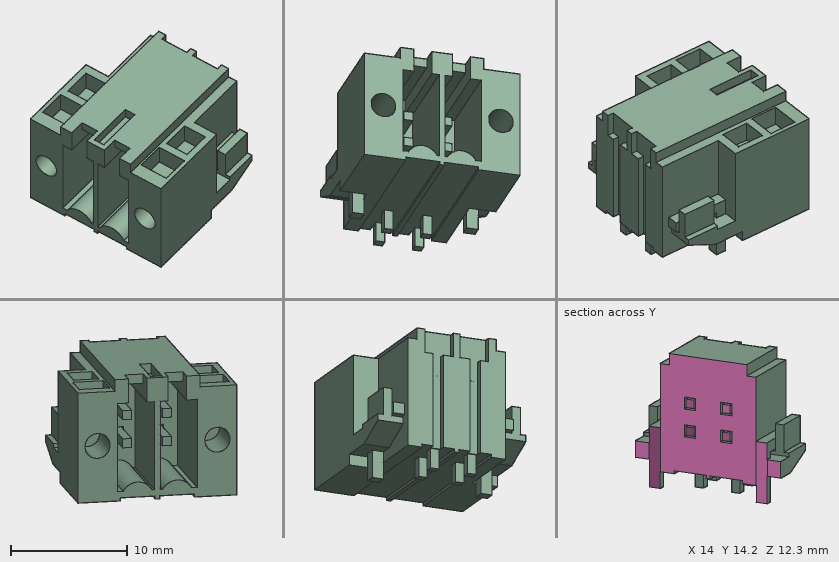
import cadquery as cq

SIDES = (-1, 1)

WIDTH = 14.0
LENGTH = 14.2
HEIGHT = 10.79
FRONT = -LENGTH / 2
REAR = LENGTH / 2
SIDE = WIDTH / 2
SHOULDER_Z = 9.77
RAISED_HALF_WIDTH = 3.75
CORE_HALF_WIDTH = 4.62
EAR_REAR = REAR - 6.13

POLE_X = 1.75
LEG_BOTTOM = -1.5
CONTACT_SIZE = 0.8

SLOT_INNER = 0.25
SLOT_OUTER = 3.51
SLOT_BOTTOM = 0.85
SLOT_TOP = 8.66
SLOT_BACK = EAR_REAR
RIDGE_HALF_WIDTH = 1.28
RIDGE_HEIGHT = 0.75
KEYWAY_WIDTH = 1.62
KEYWAY_TOP = 9.97
NOTCH_LENGTH = 1.5

CLEARANCE_SIZE = 1.04
CLEARANCE_DEPTH = 0.71

EAR_HOLE_X = 5.28
EAR_HOLE_Z = 5.0
EAR_HOLE_DIAMETER = 2.2
EAR_HOLE_DEPTH = 4.26
POCKET_DEPTH = 1.82
POCKET_LENGTH = 2.61
FRONT_POCKET_WIDTH = 2.68
REAR_POCKET_WIDTH = 2.2
FRONT_POCKET_START = FRONT + 1.28
REAR_POCKET_START = FRONT + 4.63

SLIT_WIDTH = 1.01
SLIT_START = FRONT + 0.51
SLIT_LENGTH = 4.47
SLIT_DEPTH = 0.9

REAR_NOTCH_DEPTH = 0.58
REAR_NOTCH_INNER = 0.31
REAR_NOTCH_OUTER = 2.98
REAR_NOTCH_FLOOR = SLOT_TOP
REAR_SLOT_WIDTH = 0.97

RELIEF_INNER = 0.2
RELIEF_OUTER = 3.28
RELIEF_HEIGHT = 0.27

ARM_REAR = REAR - 1.0
ARM_BEAM_TOP = 2.5
ARM_BEAM_BOTTOM = 0.98
ARM_SLOPE_START = REAR - 3.93
ARM_REAR_BOTTOM = 2.26
ARM_PAD_FRONT = REAR - 4.19
ARM_LEDGE_Z = 2.84
ARM_UNDERCUT_FRONT = REAR - 6.9
GUARD_OUTER = 6.49
GUARD_TOP = 5.3

ANCHOR_OUTER = 5.67
ANCHOR_REAR = REAR - 0.7
ANCHOR_FRONT = REAR - 6.1
ANCHOR_TOP = 4.0
ANCHOR_THICKNESS = 1.0

CONTACT_TIP = FRONT + 4.26
CONTACT_ROWS = (
    (6.52, REAR - 0.7),
    (4.02, REAR - 3.18),
)


def block(x_range, y_range, z_range):
    """Box between two limits on each axis; the limits may come in either order."""
    corner = [min(limits) for limits in (x_range, y_range, z_range)]
    size = [abs(limits[1] - limits[0]) for limits in (x_range, y_range, z_range)]
    return cq.Workplane("XY").box(*size, centered=False).translate(tuple(corner))


def centred(middle, width):
    """Limits of a stretch of the given width about its middle."""
    return (middle - width / 2, middle + width / 2)


def mirrored(side, inner, outer):
    """X limits of a feature on the left (side -1) or right (side 1)."""
    return (side * inner, side * outer)


def make_contact(side, tip_z, leg_rear):
    """Square wire running back from its tip and bent down into a leg."""
    x_range = centred(side * POLE_X, CONTACT_SIZE)
    tip_range = centred(tip_z, CONTACT_SIZE)
    bar = block(x_range, (CONTACT_TIP, leg_rear), tip_range)
    leg = block(x_range, (leg_rear - CONTACT_SIZE, leg_rear), (LEG_BOTTOM, max(tip_range)))
    return bar.union(leg)


def make_anchor(side):
    x_range = mirrored(side, CORE_HALF_WIDTH, ANCHOR_OUTER)
    bar = block(x_range, (ANCHOR_FRONT, ANCHOR_REAR), (ANCHOR_TOP - ANCHOR_THICKNESS, ANCHOR_TOP))
    leg = block(x_range, (ANCHOR_FRONT, ANCHOR_FRONT + ANCHOR_THICKNESS), (LEG_BOTTOM, ANCHOR_TOP))
    return bar.union(leg)


def make_shell():
    """Raised centre, narrower rear core and full-width ears."""
    centre = block(centred(0, 2 * RAISED_HALF_WIDTH), (FRONT, REAR), (0, HEIGHT))
    core = block(centred(0, 2 * CORE_HALF_WIDTH), (FRONT, REAR), (0, SHOULDER_Z))
    ears = block(centred(0, WIDTH), (FRONT, EAR_REAR), (0, SHOULDER_Z))
    return centre.union(core).union(ears)


def make_arm(side):
    """Sloping arm behind an ear: beam with a raised pad and an upright guard wall."""
    outline = [
        (EAR_REAR, ARM_BEAM_TOP),
        (ARM_PAD_FRONT, ARM_BEAM_TOP),
        (ARM_PAD_FRONT, ARM_LEDGE_Z),
        (ARM_REAR, ARM_LEDGE_Z),
        (ARM_REAR, ARM_REAR_BOTTOM),
        (ARM_SLOPE_START, ARM_BEAM_BOTTOM),
        (EAR_REAR, ARM_BEAM_BOTTOM),
    ]
    start = min(mirrored(side, CORE_HALF_WIDTH, SIDE))
    beam = cq.Workplane("YZ", origin=(start, 0, 0)).polyline(outline).close().extrude(SIDE - CORE_HALF_WIDTH)
    pad_y = (ARM_PAD_FRONT, ARM_REAR)
    guard = block(mirrored(side, ANCHOR_OUTER, GUARD_OUTER), pad_y, (ARM_LEDGE_Z, GUARD_TOP))
    return beam.union(guard)


def make_arm_undercut(side):
    """Step under the rear end of an ear, level with the underside of the arm."""
    x_range = mirrored(side, CORE_HALF_WIDTH, SIDE)
    return block(x_range, (ARM_UNDERCUT_FRONT, EAR_REAR), (0, ARM_BEAM_BOTTOM))


def make_mating_slot(side):
    """Slot with a rounded ridge on its floor and a keyway open at the top near the front."""
    depth = SLOT_BACK - FRONT
    middle = side * POLE_X
    profile = (
        cq.Workplane("XZ", origin=(0, FRONT, 0))
        .moveTo(side * SLOT_INNER, SLOT_TOP)
        .lineTo(side * SLOT_INNER, SLOT_BOTTOM)
        .lineTo(side * (POLE_X - RIDGE_HALF_WIDTH), SLOT_BOTTOM)
        .threePointArc(
            (middle, SLOT_BOTTOM + RIDGE_HEIGHT),
            (side * (POLE_X + RIDGE_HALF_WIDTH), SLOT_BOTTOM),
        )
        .lineTo(side * SLOT_OUTER, SLOT_BOTTOM)
        .lineTo(side * SLOT_OUTER, SLOT_TOP)
        .close()
    )
    slot = profile.extrude(-depth)
    keyway_x = centred(middle, KEYWAY_WIDTH)
    keyway = block(keyway_x, (FRONT, SLOT_BACK), (SLOT_TOP, KEYWAY_TOP))
    notch = block(keyway_x, (FRONT, FRONT + NOTCH_LENGTH), (SLOT_TOP, HEIGHT))
    return slot.union(keyway).union(notch)


def make_contact_clearance(side, tip_z):
    """Square recess around a contact in the back wall of a slot."""
    x_range = centred(side * POLE_X, CLEARANCE_SIZE)
    return block(x_range, (SLOT_BACK, SLOT_BACK + CLEARANCE_DEPTH), centred(tip_z, CLEARANCE_SIZE))


def make_ear_pocket(side, width, start):
    x_range = centred(side * EAR_HOLE_X, width)
    return block(x_range, (start, start + POCKET_LENGTH), (SHOULDER_Z - POCKET_DEPTH, SHOULDER_Z))


def make_ear_hole(side):
    plane = cq.Workplane("XZ", origin=(side * EAR_HOLE_X, FRONT, EAR_HOLE_Z))
    return plane.circle(EAR_HOLE_DIAMETER / 2).extrude(-EAR_HOLE_DEPTH)


def make_rear_notch(side):
    """Wide notch at the top of the rear face, continued downwards by a narrow slot."""
    y_range = (REAR - REAR_NOTCH_DEPTH, REAR)
    wide = block(mirrored(side, REAR_NOTCH_INNER, REAR_NOTCH_OUTER), y_range, (REAR_NOTCH_FLOOR, HEIGHT))
    narrow = block(centred(side * POLE_X, REAR_SLOT_WIDTH), y_range, (0, HEIGHT))
    return wide.union(narrow)


def make_slit():
    y_range = (SLIT_START, SLIT_START + SLIT_LENGTH)
    return block(centred(0, SLIT_WIDTH), y_range, (HEIGHT - SLIT_DEPTH, HEIGHT))


def make_relief(side):
    """Shallow relief along the underside of one pole."""
    return block(mirrored(side, RELIEF_INNER, RELIEF_OUTER), (FRONT, REAR), (0, RELIEF_HEIGHT))


def make_housing(inserts):
    """Housing with a matching seat for every metal insert."""
    body = make_shell().cut(make_slit())
    for side in SIDES:
        body = body.union(make_arm(side))
        body = body.cut(make_arm_undercut(side))
        body = body.cut(make_mating_slot(side))
        for tip_z, _ in CONTACT_ROWS:
            body = body.cut(make_contact_clearance(side, tip_z))
        body = body.cut(make_ear_pocket(side, FRONT_POCKET_WIDTH, FRONT_POCKET_START))
        body = body.cut(make_ear_pocket(side, REAR_POCKET_WIDTH, REAR_POCKET_START))
        body = body.cut(make_ear_hole(side))
        body = body.cut(make_rear_notch(side))
        body = body.cut(make_relief(side))
    for insert in inserts:
        body = body.cut(insert)
    return body


contacts = [make_contact(side, tip_z, leg_rear) for side in SIDES for tip_z, leg_rear in CONTACT_ROWS]
anchors = [make_anchor(side) for side in SIDES]
housing = make_housing(contacts + anchors)

result = cq.Compound.makeCompound(
    [
        housing.val(),
        *[contact.val() for contact in contacts],
        *[anchor.val() for anchor in anchors],
    ]
)